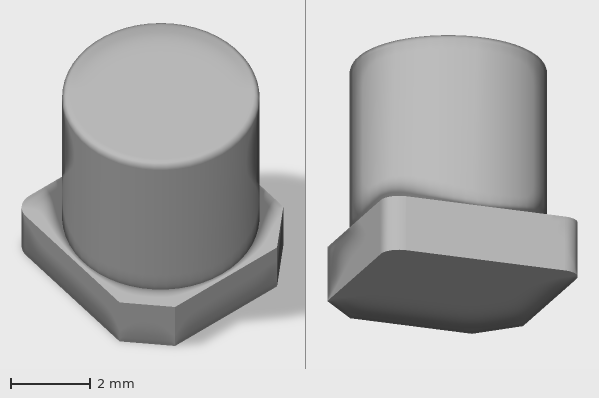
import cadquery as cq

BASE_SIDE = 5.3
BASE_HEIGHT = 1.45
CORNER_RADIUS = 0.5
CORNER_CHAMFER = 1.0

TOTAL_HEIGHT = 6.1
CAN_DIAMETER = 5.0
CAN_HEIGHT = TOTAL_HEIGHT - BASE_HEIGHT
CAN_EDGE_RADIUS = 0.2

TERMINAL_LENGTH = 2.0
TERMINAL_WIDTH = 0.7
TERMINAL_THICKNESS = 0.1
TERMINAL_SIDES = (-1, 1)


def make_terminal(side):
    """Strip along X whose outer end is flush with the base on the given side."""
    center_x = side * (BASE_SIDE - TERMINAL_LENGTH) / 2
    return (
        cq.Workplane("XY")
        .center(center_x, 0)
        .rect(TERMINAL_LENGTH, TERMINAL_WIDTH)
        .extrude(TERMINAL_THICKNESS)
    )


def make_base(terminals):
    """Base plate with a matching recess for each terminal."""
    base = (
        cq.Workplane("XY")
        .rect(BASE_SIDE, BASE_SIDE)
        .extrude(BASE_HEIGHT)
        .edges("|Z and <X")
        .fillet(CORNER_RADIUS)
        .edges("|Z and >X")
        .chamfer(CORNER_CHAMFER)
    )
    for terminal in terminals:
        base = base.cut(terminal)
    return base


def make_can():
    """Cylindrical can with a rounded top edge."""
    return (
        cq.Workplane("XY")
        .workplane(offset=BASE_HEIGHT)
        .circle(CAN_DIAMETER / 2)
        .extrude(CAN_HEIGHT)
        .edges(">Z")
        .fillet(CAN_EDGE_RADIUS)
    )


terminals = [make_terminal(side) for side in TERMINAL_SIDES]
base = make_base(terminals)
can = make_can()

result = cq.Compound.makeCompound(
    [base.val(), can.val(), *[terminal.val() for terminal in terminals]]
)